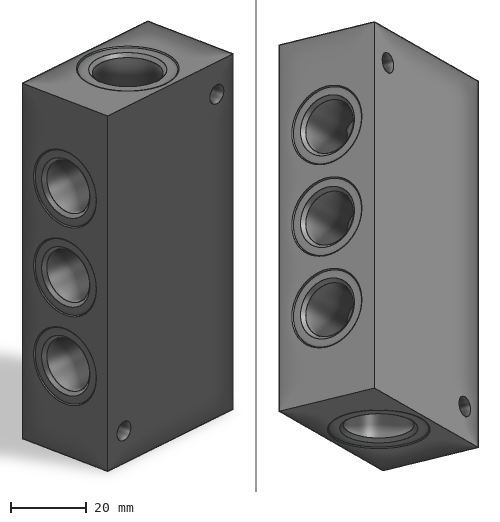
import cadquery as cq

WIDTH = 30.0
DEPTH = 50.0
HEIGHT = 104.0

SEAT_DEPTH = 0.3

GALLERY_DIAMETER = 17.0
END_PORT_DIAMETER = 18.6
END_PORT_DEPTH = 20.6
END_PORT_MOUTH_DIAMETER = 20.6
END_SEAT_DIAMETER = 27.0
STEP_SLOPE = 0.6

SIDE_PORT_DIAMETER = 15.0
SIDE_PORT_MOUTH_DIAMETER = 17.0
SIDE_SEAT_DIAMETER = 22.0
SIDE_PORT_SPACING = 26.0
SIDE_PORT_COUNT = 3

MOUNT_DIAMETER = 5.5
MOUNT_Y = 18.5
MOUNT_Z = 42.5


def port_cutter(bore, mouth, seat, end, tail):
    """Seat, 45 degree mouth and bore turned about Z, entering downwards at z = 0.

    The bore runs down to the depth `end`; `tail` lists any further profile points.
    """
    bore_radius = bore / 2
    mouth_radius = mouth / 2
    seat_radius = seat / 2
    bore_start = SEAT_DEPTH + mouth_radius - bore_radius
    profile = [
        (0, 0),
        (seat_radius, 0),
        (seat_radius - SEAT_DEPTH, -SEAT_DEPTH),
        (mouth_radius, -SEAT_DEPTH),
        (bore_radius, -bore_start),
        (bore_radius, -end),
    ]
    outline = cq.Workplane("XZ").polyline(profile + tail).close()
    return outline.revolve(360, (0, 0, 0), (0, 1, 0))


def end_port():
    """Upper half of the gallery, from the top face to mid height."""
    gallery_radius = GALLERY_DIAMETER / 2
    shoulder = STEP_SLOPE * (END_PORT_DIAMETER / 2 - gallery_radius)
    tail = [
        (gallery_radius, -END_PORT_DEPTH - shoulder),
        (gallery_radius, -HEIGHT / 2),
        (0, -HEIGHT / 2),
    ]
    cutter = port_cutter(
        END_PORT_DIAMETER, END_PORT_MOUTH_DIAMETER, END_SEAT_DIAMETER, END_PORT_DEPTH, tail
    )
    return cutter.translate((0, 0, HEIGHT / 2))


def side_port():
    """Front half of a side port, from the -Y face to the middle of the block."""
    cutter = port_cutter(
        SIDE_PORT_DIAMETER,
        SIDE_PORT_MOUTH_DIAMETER,
        SIDE_SEAT_DIAMETER,
        DEPTH / 2,
        [(0, -DEPTH / 2)],
    )
    return cutter.rotate((0, 0, 0), (1, 0, 0), 90).translate((0, -DEPTH / 2, 0))


result = cq.Workplane("XY").box(WIDTH, DEPTH, HEIGHT)

upper_port = end_port()
result = result.cut(upper_port).cut(upper_port.mirror("XY"))

for index in range(SIDE_PORT_COUNT):
    port_z = (index - (SIDE_PORT_COUNT - 1) / 2) * SIDE_PORT_SPACING
    front_port = side_port().translate((0, 0, port_z))
    result = result.cut(front_port).cut(front_port.mirror("XZ"))

mount_holes = (
    cq.Workplane("YZ")
    .pushPoints([(MOUNT_Y, MOUNT_Z), (-MOUNT_Y, -MOUNT_Z)])
    .circle(MOUNT_DIAMETER / 2)
    .extrude(WIDTH / 2, both=True)
)
result = result.cut(mount_holes)